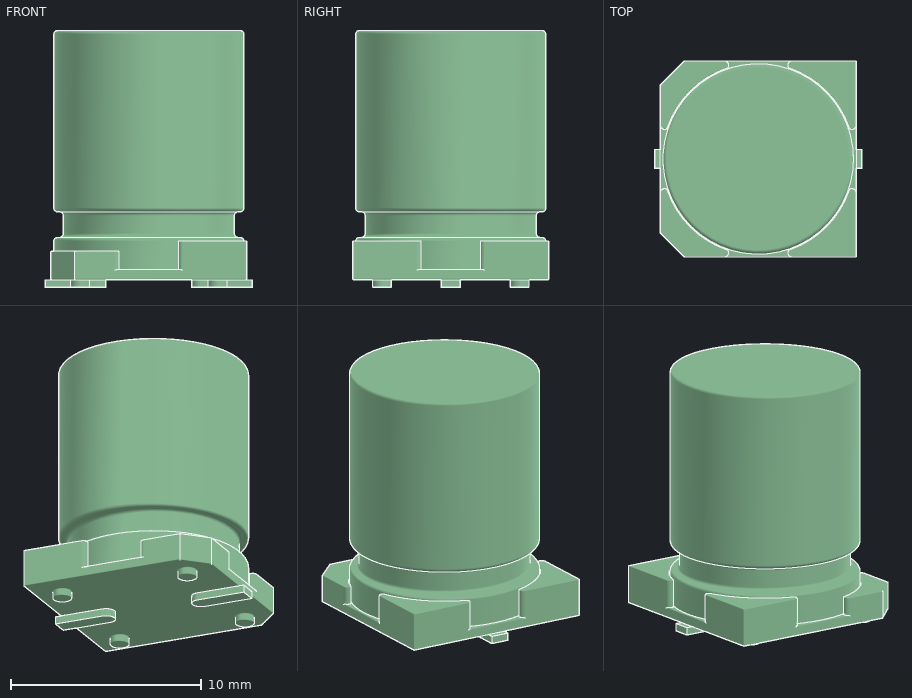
import cadquery as cq

total_height = 13.5
mount_height = 0.4

can_radius = 10.0 / 2
neck_radius = 9.0 / 2
bead_radius = 0.2
lower_rim_top = 2.63
upper_rim_bottom = 3.97

base_width = 10.3
floor_top = 0.95
joint_height = (mount_height + floor_top) / 2
low_post_top = 1.9
high_post_top = 2.45
corner_chamfer = 1.25
bore_radius = 5.05
notch_width = 3.1
post_tip_outer_fillet = 0.24
post_tip_inner_fillet = 0.14
edge_fillet = 0.05

terminal_width = 1.0
terminal_outer_x = 10.9 / 2
terminal_inner_x = 2.25
pin_diameter = 1.0
pin_offset = 3.62


def make_can():
    """Revolved can with a grooved neck between two rounded rims."""
    profile = (
        cq.Workplane("XZ")
        .moveTo(0, floor_top)
        .lineTo(can_radius, floor_top)
        .lineTo(can_radius, lower_rim_top - bead_radius)
        .radiusArc((can_radius - bead_radius, lower_rim_top), -bead_radius)
        .lineTo(neck_radius + bead_radius, lower_rim_top)
        .radiusArc((neck_radius, lower_rim_top + bead_radius), bead_radius)
        .lineTo(neck_radius, upper_rim_bottom - bead_radius)
        .radiusArc((neck_radius + bead_radius, upper_rim_bottom), bead_radius)
        .lineTo(can_radius - bead_radius, upper_rim_bottom)
        .radiusArc((can_radius, upper_rim_bottom + bead_radius), -bead_radius)
        .lineTo(can_radius, total_height - bead_radius)
        .radiusArc((can_radius - bead_radius, total_height), -bead_radius)
        .lineTo(0, total_height)
        .close()
    )
    return profile.revolve(360, (0, 0, 0), (0, 1, 0))


def base_block(bottom, top):
    """Square block with the two -X corners chamfered and the +X corners slightly rounded."""
    return (
        cq.Workplane("XY")
        .workplane(offset=bottom)
        .rect(base_width, base_width)
        .extrude(top - bottom)
        .edges("|Z and <X")
        .chamfer(corner_chamfer)
        .edges("|Z and >X")
        .fillet(edge_fillet)
    )


def make_post(x_side, y_side, top):
    """Corner post around the can, with rounded tips and a rounded top edge."""
    quadrant = (
        cq.Workplane("XY")
        .box(base_width, base_width, total_height, centered=False)
        .translate((notch_width / 2, notch_width / 2, 0))
    )
    if x_side < 0:
        quadrant = quadrant.mirror("YZ")
    if y_side < 0:
        quadrant = quadrant.mirror("XZ")
    bore = cq.Workplane("XY").circle(bore_radius).extrude(total_height)
    post = base_block(joint_height, top).intersect(quadrant).cut(bore)

    half_notch = notch_width / 2
    half_base = base_width / 2
    tip_inner = (bore_radius ** 2 - half_notch ** 2) ** 0.5
    mid_z = (joint_height + top) / 2

    def round_tips(body, distance, radius):
        for x, y in ((half_notch, distance), (distance, half_notch)):
            nearest = cq.selectors.NearestToPointSelector((x_side * x, y_side * y, mid_z))
            body = body.edges("|Z").edges(nearest).fillet(radius)
        return body

    post = round_tips(post, half_base, post_tip_outer_fillet)
    post = round_tips(post, tip_inner, post_tip_inner_fillet)
    return post.faces(">Z").edges().fillet(edge_fillet)


def make_base():
    """Floor plate with rounded rims and four corner posts."""
    base = base_block(mount_height, floor_top).faces("<Z or >Z").edges().fillet(edge_fillet)
    for y_side in (-1, 1):
        base = base.union(make_post(-1, y_side, low_post_top))
        base = base.union(make_post(1, y_side, high_post_top))
    return base


def make_terminal():
    """Flat +X terminal with a semicircular inner end."""
    half_width = terminal_width / 2
    round_center_x = terminal_inner_x + half_width
    return (
        cq.Workplane("XY")
        .moveTo(terminal_outer_x, -half_width)
        .lineTo(terminal_outer_x, half_width)
        .lineTo(round_center_x, half_width)
        .threePointArc((terminal_inner_x, 0), (round_center_x, -half_width))
        .close()
        .extrude(mount_height)
    )


def make_pins():
    """Four round standoffs with rounded feet and flared roots under the base corners."""
    radius = pin_diameter / 2
    pin = (
        cq.Workplane("XZ")
        .lineTo(radius - edge_fillet, 0)
        .radiusArc((radius, edge_fillet), -edge_fillet)
        .lineTo(radius, mount_height - edge_fillet)
        .radiusArc((radius + edge_fillet, mount_height), edge_fillet)
        .lineTo(radius + edge_fillet, joint_height)
        .lineTo(0, joint_height)
        .close()
        .revolve(360, (0, 0, 0), (0, 1, 0))
    )
    centers = cq.Workplane("XY").rect(2 * pin_offset, 2 * pin_offset, forConstruction=True).vertices()
    return centers.eachpoint(lambda location: pin.val().moved(location))


terminal = make_terminal()
result = (
    make_base()
    .union(make_can())
    .union(terminal)
    .union(terminal.mirror("YZ"))
    .union(make_pins())
)